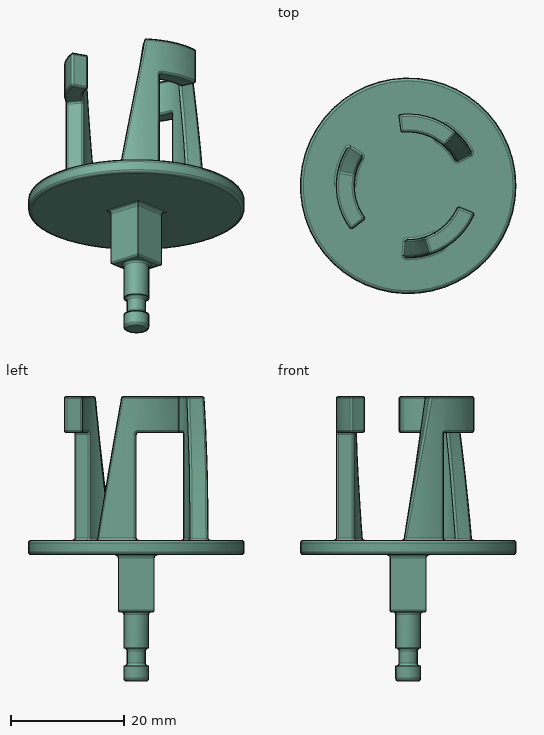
import cadquery as cq
import math

disc_diameter = 38.1
disc_thickness = 2.54
disc_edge_radius = 0.508

block_width = 6.35
block_length = 10.16
block_top_fillet = 0.635
block_end_radius = 0.381
shank_diameter = 4.4
shank_length = 6.35
shank_top_fillet = 0.381
groove_diameter = 3.25
groove_width = 3.175
groove_fillet = 0.508
head_length = 2.665
head_end_radius = 0.508

hook_count = 3
hook_outer_radius = 12.7
hook_inner_radius = 9.525
hook_height = 25.4
arm_height = 6.35
hook_edge_radius = 0.381
hook_root_fillet = 0.381

slope_base_angle = 266.5
slope_top_angle = 288.0
leg_inner_angle = 300.0
arm_tip_angle = 337.5

blank_margin = 5.0
cutter_span = 20.0
cutter_reach = 5.0

selection_tolerance = 0.01

disc_top = disc_thickness
hook_top = disc_top + hook_height
arm_bottom = hook_top - arm_height
block_end = -block_length
shank_end = block_end - shank_length
groove_end = shank_end - groove_width
head_end = groove_end - head_length


def polar(radius, angle):
    return (radius * math.cos(math.radians(angle)), radius * math.sin(math.radians(angle)))


def ring_sector(start_angle, end_angle, bottom, top):
    """Piece of the hook ring between two angles and two levels."""
    middle_angle = (start_angle + end_angle) / 2
    return (
        cq.Workplane("XY", origin=(0, 0, bottom))
        .moveTo(*polar(hook_inner_radius, start_angle))
        .lineTo(*polar(hook_outer_radius, start_angle))
        .threePointArc(polar(hook_outer_radius, middle_angle), polar(hook_outer_radius, end_angle))
        .lineTo(*polar(hook_inner_radius, end_angle))
        .threePointArc(polar(hook_inner_radius, middle_angle), polar(hook_inner_radius, start_angle))
        .close()
        .extrude(top - bottom)
    )


def slope_cutter():
    """Wedge beside the leg whose ruled face leans from the base angle to the top angle."""
    near = hook_inner_radius - cutter_reach
    far = hook_outer_radius + cutter_reach
    back_angle = slope_base_angle - cutter_span

    def section(face_angle):
        return [polar(near, back_angle), polar(far, back_angle), polar(far, face_angle), polar(near, face_angle)]

    return (
        cq.Workplane("XY", origin=(0, 0, disc_top))
        .polyline(section(slope_base_angle))
        .close()
        .workplane(offset=hook_height)
        .polyline(section(slope_top_angle))
        .close()
        .loft(ruled=True)
    )


def make_hook():
    """Leaning leg with an arm that follows the ring at its top, all edges but the foot rounded."""
    blank = ring_sector(slope_base_angle - blank_margin, arm_tip_angle, disc_top, hook_top)
    window = ring_sector(leg_inner_angle, arm_tip_angle + blank_margin, disc_top, arm_bottom)
    hook = blank.cut(window).cut(slope_cutter())
    return hook.edges("not(<Z)").fillet(hook_edge_radius)


def make_disc():
    disc = cq.Workplane("XY").circle(disc_diameter / 2).extrude(disc_thickness)
    return disc.edges().fillet(disc_edge_radius)


def make_block():
    block = cq.Workplane("XY").rect(block_width, block_width).extrude(-block_length)
    return block.faces("<Z").edges().fillet(block_end_radius)


def make_shank():
    """Round shank with a groove near its lower end."""
    shank = cq.Workplane("XY", origin=(0, 0, head_end)).circle(shank_diameter / 2).extrude(block_end - head_end)
    groove = (
        cq.Workplane("XY", origin=(0, 0, groove_end))
        .circle(shank_diameter)
        .circle(groove_diameter / 2)
        .extrude(groove_width)
        .edges(cq.selectors.RadiusNthSelector(0))
        .fillet(groove_fillet)
    )
    return shank.cut(groove).faces("<Z").edges().fillet(head_end_radius)


def edges_at(height, half_width):
    """Selector for the edges lying at one level within a square around Z."""
    return cq.selectors.BoxSelector(
        (-half_width, -half_width, height - selection_tolerance),
        (half_width, half_width, height + selection_tolerance),
        boundingbox=True,
    )


def make_body():
    """Disc and stem with fillets where the stem changes section."""
    body = make_disc().union(make_block()).union(make_shank())
    body = body.edges(edges_at(0, block_width)).fillet(block_top_fillet)
    return body.edges(edges_at(block_end, shank_diameter / 2 + selection_tolerance)).fillet(shank_top_fillet)


def add_hooks(body):
    """Spread the hooks around the disc and fillet their feet."""
    hook = make_hook()
    hook_spacing = 360 / hook_count
    for index in range(hook_count):
        body = body.union(hook.rotate((0, 0, 0), (0, 0, 1), index * hook_spacing))
    foot_reach = hook_outer_radius + hook_root_fillet
    return body.edges(edges_at(disc_top, foot_reach)).fillet(hook_root_fillet)


result = add_hooks(make_body())